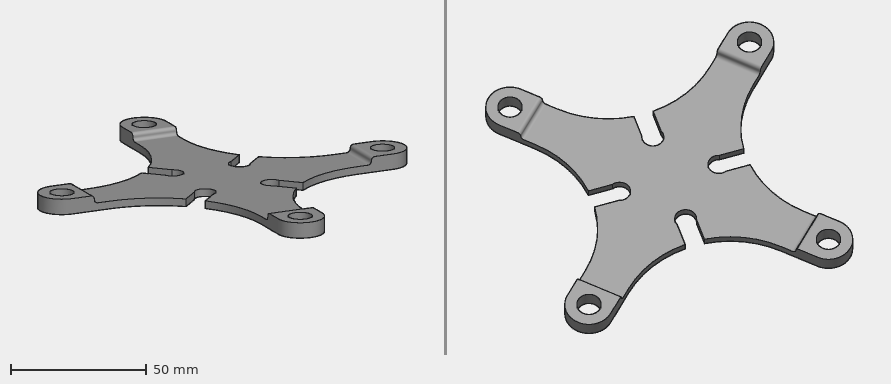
import cadquery as cq
import math

span = 150.0
pad_height = 6.0
web_height = 3.0
arm_width = 18.0
hole_diameter = 9.0
flank_start = 51.0
flank_radius = 42.0
step_position = 57.0
step_radius = (pad_height - web_height) / 2
slot_width = 7.5
slot_end_diameter = 8.1
slot_end_distance = 19.4

half_width = arm_width / 2
hole_position = span / 2 - half_width
flank_centre = half_width + flank_radius
step_inner = step_position - step_radius
step_outer = step_position + step_radius
quarter_turns = [0, 90, 180, 270]


def turned(shape, angle):
    """Rotate a shape about the vertical axis through the part centre."""
    return shape.rotate((0, 0, 0), (0, 0, 1), angle)


def arm_plan():
    """One arm with its round tip, flaring to the diagonals, at full pad height."""
    diagonal = flank_radius * math.sqrt(0.5)
    corner_x = flank_start - diagonal
    corner_y = flank_centre - diagonal
    mid_x = flank_start - flank_radius * math.sin(math.pi / 8)
    mid_y = flank_centre - flank_radius * math.cos(math.pi / 8)
    return (
        cq.Workplane("XY")
        .lineTo(corner_x, corner_y)
        .threePointArc((mid_x, mid_y), (flank_start, half_width))
        .lineTo(hole_position, half_width)
        .threePointArc((span / 2, 0), (hole_position, -half_width))
        .lineTo(flank_start, -half_width)
        .threePointArc((mid_x, -mid_y), (corner_x, -corner_y))
        .close()
        .extrude(pad_height)
    )


def arm_profile():
    """Side profile of an arm: thin web, S-shaped step, then the thick pad."""
    step_middle = web_height + step_radius
    return (
        cq.Workplane("XZ")
        .lineTo(span / 2, 0)
        .lineTo(span / 2, pad_height)
        .lineTo(step_outer, pad_height)
        .radiusArc((step_position, step_middle), -step_radius)
        .radiusArc((step_inner, web_height), step_radius)
        .lineTo(0, web_height)
        .close()
        .extrude(span / 2, both=True)
    )


def pad_hole():
    """Through hole concentric with the round tip of an arm."""
    return cq.Workplane("XY").center(hole_position, 0).circle(hole_diameter / 2).extrude(pad_height)


def keyhole_slot():
    """Open slot with a slightly wider round inner end."""
    slot_length = span / 2 - slot_end_distance
    slot = (
        cq.Workplane("XY")
        .center(slot_end_distance + slot_length / 2, 0)
        .rect(slot_length, slot_width)
        .extrude(pad_height)
    )
    round_end = (
        cq.Workplane("XY")
        .center(slot_end_distance, 0)
        .circle(slot_end_diameter / 2)
        .extrude(pad_height)
    )
    return slot.union(round_end)


arm = arm_plan().intersect(arm_profile()).cut(pad_hole())
result = arm
for angle in quarter_turns[1:]:
    result = result.union(turned(arm, angle))
result = result.clean()

for angle in quarter_turns:
    result = result.cut(turned(keyhole_slot(), angle + 45))